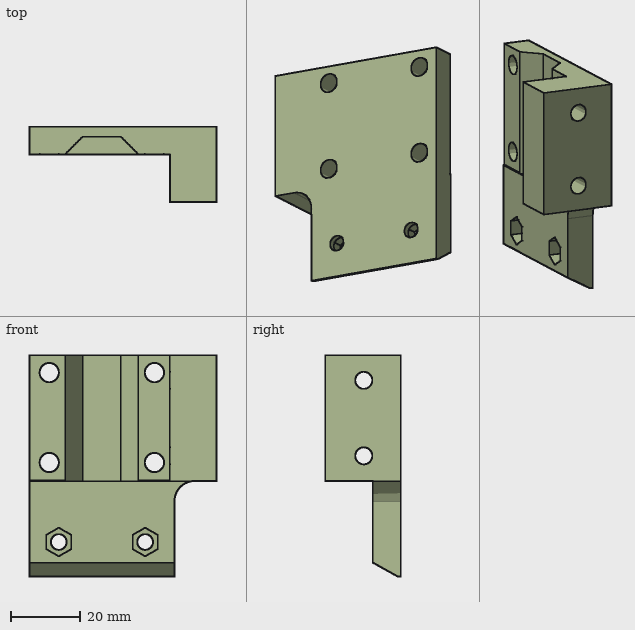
import cadquery as cq
import math

total_width = 54.15
total_depth = 21.8
total_height = 64.0

plate_thickness = 8.1
plate_width = 42.0
block_width = 13.5
upper_height = 36.4
corner_radius = 5.75
seat_recess = 0.2

bevel_height = 4.0
bevel_tip_thickness = 0.9

channel_center_x = 20.9
channel_floor_width = 11.1
channel_floor_y = -2.95

seat_hole_diameter = 5.5
seat_hole_xs = (5.75, 36.15)
seat_hole_zs = (32.95, 58.95)

bolt_diameter = 4.5
bolt_xs = (8.5, 33.5)
bolt_z = 10.0
nut_across_flats = 7.2
nut_pocket_depth = 6.0

cross_diameter = 4.85
cross_y = -10.7
cross_zs = (34.9, 56.7)

step_z = total_height - upper_height
block_x = total_width - block_width
seat_y = seat_recess - plate_thickness
channel_mouth_width = channel_floor_width + 2 * (channel_floor_y - seat_y)


def box(x0, x1, y0, y1, z0, z1):
    """Box between two opposite corners."""
    return cq.Workplane("XY").box(x1 - x0, y1 - y0, z1 - z0, centered=False).translate((x0, y0, z0))


def make_plate():
    """L-shaped back plate with a filleted inner corner, a bevelled lower edge and a seat
    that meets the lower plate in a small 45 degree ramp."""
    lower = box(0, plate_width, -plate_thickness, 0, 0, step_z)
    upper = box(0, total_width, seat_y, 0, step_z, total_height)
    corner = (
        cq.Workplane("XZ")
        .moveTo(plate_width, step_z)
        .lineTo(plate_width, step_z - corner_radius)
        .radiusArc((plate_width + corner_radius, step_z), corner_radius)
        .close()
        .extrude(plate_thickness)
    )
    bevel = (
        cq.Workplane("YZ")
        .moveTo(-bevel_tip_thickness, 0)
        .lineTo(-plate_thickness, 0)
        .lineTo(-plate_thickness, bevel_height)
        .close()
        .extrude(plate_width)
    )
    seat_ramp = (
        cq.Workplane("YZ")
        .moveTo(seat_y, step_z)
        .lineTo(-plate_thickness, step_z)
        .lineTo(seat_y, step_z + seat_recess)
        .close()
        .extrude(block_x)
    )
    return lower.union(upper).union(corner).union(seat_ramp).cut(bevel)


def make_block():
    """Side block standing forward of the plate."""
    return box(block_x, total_width, -total_depth, 0, step_z, total_height)


def make_channel():
    """Trapezoidal channel, open at the top and closed by the lower plate."""
    return (
        cq.Workplane("XY", origin=(channel_center_x, 0, step_z))
        .moveTo(-channel_mouth_width / 2, -plate_thickness)
        .lineTo(-channel_mouth_width / 2, seat_y)
        .lineTo(-channel_floor_width / 2, channel_floor_y)
        .lineTo(channel_floor_width / 2, channel_floor_y)
        .lineTo(channel_mouth_width / 2, seat_y)
        .lineTo(channel_mouth_width / 2, -plate_thickness)
        .close()
        .extrude(upper_height)
    )


def make_seat_holes():
    """Four holes through the upper plate beside the channel."""
    centers = [(x, z) for x in seat_hole_xs for z in seat_hole_zs]
    return cq.Workplane("XZ").pushPoints(centers).circle(seat_hole_diameter / 2).extrude(plate_thickness)


def make_bolt_hole(x):
    """Bolt hole with a nut pocket, two hexagon corners pointing up and down."""
    hole = cq.Workplane("XZ").center(x, bolt_z).circle(bolt_diameter / 2).extrude(plate_thickness)
    nut_across_corners = nut_across_flats / math.cos(math.pi / 6)
    pocket = (
        cq.Workplane("XZ")
        .polygon(6, nut_across_corners)
        .extrude(nut_pocket_depth)
        .rotate((0, 0, 0), (0, 1, 0), 30)
        .translate((x, nut_pocket_depth - plate_thickness, bolt_z))
    )
    return hole.union(pocket)


def make_cross_holes():
    """Two holes through the side block along X."""
    centers = [(cross_y, z) for z in cross_zs]
    return (
        cq.Workplane("YZ", origin=(block_x, 0, 0))
        .pushPoints(centers)
        .circle(cross_diameter / 2)
        .extrude(block_width)
    )


result = make_plate().union(make_block())
result = result.cut(make_channel()).cut(make_seat_holes()).cut(make_cross_holes())
for bolt_x in bolt_xs:
    result = result.cut(make_bolt_hole(bolt_x))